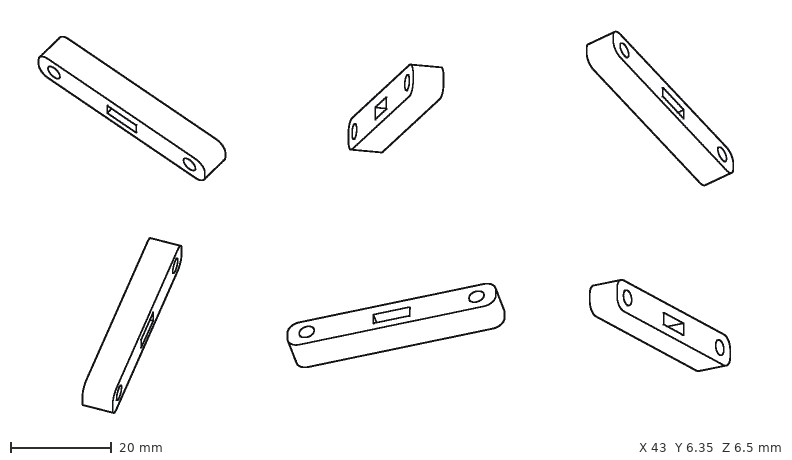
import cadquery as cq

length = 43.0
thickness = 6.35
height = 6.5
corner_radius = 2.5

hole_diameter = 3.1
hole_spacing = 35.0

slot_length = 7.5
slot_height = 2.5
slot_offset_z = -0.25


def make_bar():
    """Rectangular bar with its four end corners rounded along Y."""
    bar = cq.Workplane("XY").box(length, thickness, height)
    return bar.edges("|Y").fillet(corner_radius)


def cut_mounting_holes(bar):
    """One through hole near each end, along Y."""
    half_spacing = hole_spacing / 2
    return (
        bar.faces("<Y")
        .workplane(centerOption="CenterOfBoundBox")
        .pushPoints([(-half_spacing, 0), (half_spacing, 0)])
        .hole(hole_diameter)
    )


def cut_slot(bar):
    """Central rectangular window, along Y."""
    slot = cq.Workplane("XY").box(slot_length, thickness, slot_height)
    return bar.cut(slot.translate((0, 0, slot_offset_z)))


result = cut_slot(cut_mounting_holes(make_bar()))